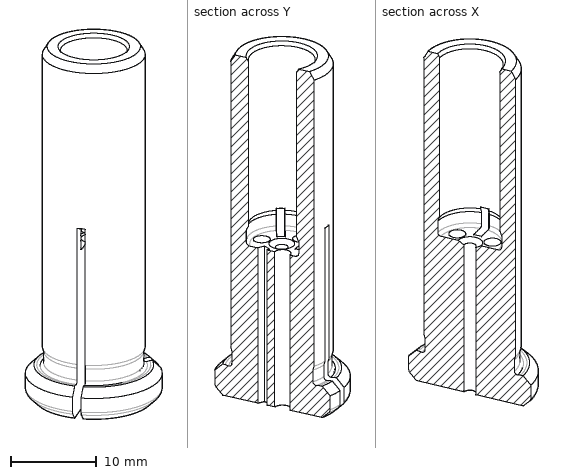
import cadquery as cq
import math

length = 44.0
body_radius = 12.0 / 2
flange_radius = 15.95 / 2
flange_height = 4.05

flange_chamfer = 1.0
flange_edge_round = 0.55
top_chamfer_width = 0.55
top_chamfer_height = 0.95

groove_radius = 5.85
groove_top = 6.4
groove_taper_height = 0.55
relief_fillet = 0.4
relief_depth = 0.1
relief_outer_radius = 6.65

bore_radius = 7.8 / 2
bore_floor = 19.95
undercut_radius = 4.15
undercut_height = 1.9
undercut_taper_height = 0.6
bore_mouth_chamfer_width = 0.25
bore_mouth_chamfer_height = 0.5

center_hole_diameter = 1.5
countersink_radius = 1.5
countersink_angle = 120.0
side_hole_diameter = 2.0
side_hole_circle_radius = 2.65

slot_count = 3
slot_width = 1.0
slot_inner_radius = 2.02
slot_height = 23.45
slot_roof_drop = 0.8

overshoot = 0.45


def make_body():
    """Revolve the flanged outside shape, including its relief groove."""
    chamfer_radius = flange_radius - flange_chamfer
    relief_floor = flange_height - relief_depth
    fillet_center_radius = groove_radius + relief_fillet
    fillet_top = relief_floor + relief_fillet
    fillet_offset = relief_fillet * math.sqrt(0.5)
    fillet_middle = (fillet_center_radius - fillet_offset, fillet_top - fillet_offset)

    round_tangent = flange_edge_round * math.tan(math.radians(22.5))
    round_center = (flange_radius - flange_edge_round, flange_chamfer + round_tangent)
    round_start_offset = flange_edge_round * math.sqrt(0.5)
    round_start = (round_center[0] + round_start_offset, round_center[1] - round_start_offset)
    round_middle = (
        round_center[0] + flange_edge_round * math.cos(math.radians(22.5)),
        round_center[1] - flange_edge_round * math.sin(math.radians(22.5)),
    )

    return (
        cq.Workplane("XZ")
        .moveTo(0, 0)
        .lineTo(chamfer_radius, 0)
        .lineTo(*round_start)
        .threePointArc(round_middle, (flange_radius, round_center[1]))
        .lineTo(flange_radius, flange_height - flange_chamfer)
        .lineTo(chamfer_radius, flange_height)
        .lineTo(relief_outer_radius, flange_height)
        .lineTo(fillet_center_radius, relief_floor)
        .threePointArc(fillet_middle, (groove_radius, fillet_top))
        .lineTo(groove_radius, groove_top - groove_taper_height)
        .lineTo(body_radius, groove_top)
        .lineTo(body_radius, length - top_chamfer_height)
        .lineTo(body_radius - top_chamfer_width, length)
        .lineTo(0, length)
        .close()
        .revolve(360, (0, 0), (0, 1))
    )


def make_bore():
    """Revolve the bore space with its filleted undercut and chamfered mouth."""
    undercut_top = bore_floor + undercut_height
    fillet_center = (undercut_radius - relief_fillet, bore_floor + relief_fillet)
    fillet_offset = relief_fillet * math.sqrt(0.5)
    fillet_middle = (fillet_center[0] + fillet_offset, fillet_center[1] - fillet_offset)
    return (
        cq.Workplane("XZ")
        .moveTo(0, bore_floor)
        .lineTo(fillet_center[0], bore_floor)
        .threePointArc(fillet_middle, (undercut_radius, fillet_center[1]))
        .lineTo(undercut_radius, undercut_top)
        .lineTo(bore_radius, undercut_top + undercut_taper_height)
        .lineTo(bore_radius, length - bore_mouth_chamfer_height)
        .lineTo(bore_radius + bore_mouth_chamfer_width, length)
        .lineTo(0, length)
        .close()
        .revolve(360, (0, 0), (0, 1))
    )


def make_core_holes():
    """Center hole with its countersink, and the holes between the slots."""
    center_hole_radius = center_hole_diameter / 2
    half_angle = math.radians(countersink_angle / 2)
    countersink_depth = (countersink_radius - center_hole_radius) / math.tan(half_angle)
    center_hole = (
        cq.Workplane("XZ")
        .moveTo(0, 0)
        .lineTo(center_hole_radius, 0)
        .lineTo(center_hole_radius, bore_floor - countersink_depth)
        .lineTo(countersink_radius, bore_floor)
        .lineTo(0, bore_floor)
        .close()
        .revolve(360, (0, 0), (0, 1))
    )
    side_holes = (
        cq.Workplane("XY")
        .polarArray(side_hole_circle_radius, 0, 360, slot_count)
        .circle(side_hole_diameter / 2)
        .extrude(bore_floor)
    )
    return center_hole.union(side_holes)


def make_slot(angle):
    """Slot space open to the bottom and the outside, turned about the axis."""
    outer_radius = flange_radius + overshoot
    roof_slope = slot_roof_drop / (body_radius - bore_radius)
    roof_inner = slot_height - roof_slope * (body_radius - slot_inner_radius)
    roof_outer = slot_height + roof_slope * (outer_radius - body_radius)
    return (
        cq.Workplane("XZ")
        .moveTo(slot_inner_radius, -overshoot)
        .lineTo(outer_radius, -overshoot)
        .lineTo(outer_radius, roof_outer)
        .lineTo(slot_inner_radius, roof_inner)
        .close()
        .extrude(slot_width / 2, both=True)
        .rotate((0, 0, 0), (0, 0, 1), angle)
    )


result = make_body().cut(make_bore()).cut(make_core_holes())

slot_pitch = 360 / slot_count
for slot_index in range(slot_count):
    result = result.cut(make_slot((slot_index + 0.5) * slot_pitch))